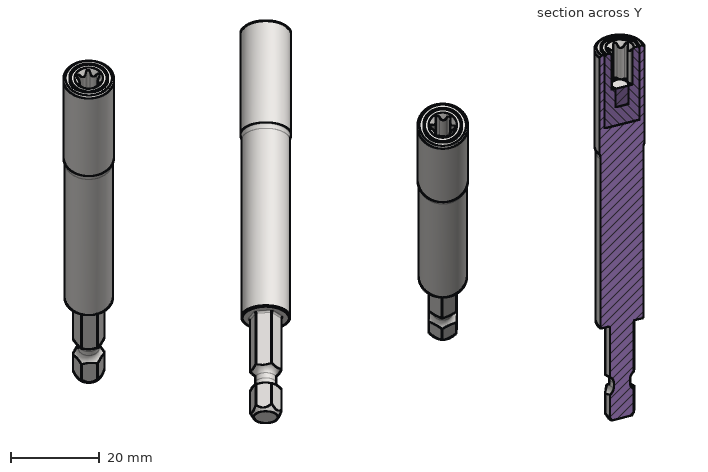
import cadquery as cq
import math

total_length = 100.0
head_radius = 5.75
grip_radius = 5.5

hex_across_flats = 6.35
hex_corner_radius = 3.6
shank_length = 25.7
shank_tip_radius = 2.75
shank_tip_chamfer_height = 1.5
shank_root_fillet = 0.4

neck_radius = 2.4
neck_cutter_clearance = 0.2
neck_arc_radius = 2.1
neck_bottom_z = 8.85
neck_top_z = 10.2

grip_bottom_chamfer = 0.25
shoulder_bottom_z = 71.85
shoulder_top_z = 73.05
shoulder_radius = 5.65
head_bottom_chamfer = 0.2
head_top_chamfer = 0.5

insert_radius = 4.4
insert_length = 20.0
insert_chamfer = 0.35

lobe_count = 6
lobe_outer_radius = 2.87
lobe_valley_radius = 2.02
lobe_tip_radius = 0.5
recess_depth = 10.0
lead_in_radius = 3.2
lead_in_depth = 1.5

magnet_radius = 1.95
magnet_length = 5.0


def revolve_about_z(profile):
    """Solid of revolution from an open profile of radius against height."""
    return profile.close().revolve(360, (0, 0, 0), (0, 1, 0))


def neck_cutter():
    """Ring that turns the neck, flaring out to beyond the hex corners at both ends."""
    outer_radius = hex_corner_radius + neck_cutter_clearance
    flare_angle = math.acos(1 - (outer_radius - neck_radius) / neck_arc_radius)

    def on_arc(angle):
        """Radius and height above the neck's end after the flare has turned by the angle."""
        radius = neck_radius + neck_arc_radius * (1 - math.cos(angle))
        return radius, neck_arc_radius * math.sin(angle)

    middle_radius, middle_rise = on_arc(flare_angle / 2)
    end_radius, end_rise = on_arc(flare_angle)
    return revolve_about_z(
        cq.Workplane("XZ")
        .moveTo(end_radius, neck_bottom_z - end_rise)
        .threePointArc((middle_radius, neck_bottom_z - middle_rise), (neck_radius, neck_bottom_z))
        .lineTo(neck_radius, neck_top_z)
        .threePointArc((middle_radius, neck_top_z + middle_rise), (end_radius, neck_top_z + end_rise))
    )


def make_shank():
    """Hex with a corner along X, its corners rounded and its tip chamfered, with the neck turned in."""
    across_corners = hex_across_flats / math.cos(math.pi / 6)
    hexagon = cq.Workplane("XY").polygon(6, across_corners).extrude(shank_length)
    turned = revolve_about_z(
        cq.Workplane("XZ")
        .moveTo(0, 0)
        .lineTo(shank_tip_radius, 0)
        .lineTo(hex_corner_radius, shank_tip_chamfer_height)
        .lineTo(hex_corner_radius, shank_length)
        .lineTo(0, shank_length)
    )
    return hexagon.intersect(turned).cut(neck_cutter())


def make_holder():
    """Barrel and shank in one piece, with a blind bore for the insert."""
    barrel = revolve_about_z(
        cq.Workplane("XZ")
        .moveTo(0, shank_length)
        .lineTo(grip_radius - grip_bottom_chamfer, shank_length)
        .lineTo(grip_radius, shank_length + grip_bottom_chamfer)
        .lineTo(grip_radius, shoulder_bottom_z)
        .tangentArcPoint((shoulder_radius, shoulder_top_z), relative=False)
        .lineTo(head_radius, shoulder_top_z + head_bottom_chamfer)
        .lineTo(head_radius, total_length - head_top_chamfer)
        .lineTo(head_radius - head_top_chamfer, total_length)
        .lineTo(0, total_length)
    )
    bore = cq.Workplane("XY").workplane(offset=total_length - insert_length)
    bore = bore.circle(insert_radius).extrude(insert_length)
    holder = barrel.union(make_shank())
    inside = (hex_corner_radius + grip_radius - grip_bottom_chamfer) / 2
    half_height = grip_bottom_chamfer / 2
    root = cq.selectors.BoxSelector(
        (-inside, -inside, shank_length - half_height),
        (inside, inside, shank_length + half_height),
        boundingbox=True,
    )
    return holder.edges(root).fillet(shank_root_fillet).cut(bore)


def lobed_outline(plane):
    """Six-lobed outline: convex lobe arcs tangent to concave valley arcs."""
    half_pitch = math.pi / lobe_count
    tip_center = lobe_outer_radius - lobe_tip_radius
    run = tip_center * math.cos(half_pitch)
    rise = tip_center * math.sin(half_pitch)
    gap = run - lobe_valley_radius
    valley_arc = (gap**2 + rise**2 - lobe_tip_radius**2) / (2 * (lobe_tip_radius + gap))
    valley_center = lobe_valley_radius + valley_arc
    share = lobe_tip_radius / (lobe_tip_radius + valley_arc)
    join_run = run + share * (valley_center - run)
    join_rise = rise * (1 - share)
    join_radius = math.hypot(join_run, join_rise)
    join_angle = math.atan2(join_rise, join_run)

    def at(radius, angle):
        return (radius * math.cos(angle), radius * math.sin(angle))

    outline = plane.moveTo(*at(join_radius, -join_angle))
    for lobe in range(lobe_count):
        valley = 2 * half_pitch * lobe
        next_valley = valley + 2 * half_pitch
        valley_end = at(join_radius, valley + join_angle)
        lobe_end = at(join_radius, next_valley - join_angle)
        outline = outline.threePointArc(at(lobe_valley_radius, valley), valley_end)
        outline = outline.threePointArc(at(lobe_outer_radius, valley + half_pitch), lobe_end)
    return outline.close()


def make_insert():
    """Drive insert: lobed recess with a conical lead-in, and a pocket for the magnet in its floor."""
    body = (
        cq.Workplane("XY")
        .workplane(offset=total_length - insert_length)
        .circle(insert_radius)
        .extrude(insert_length)
        .faces(">Z")
        .chamfer(insert_chamfer)
    )
    floor = cq.Workplane("XY").workplane(offset=total_length - recess_depth)
    recess = lobed_outline(floor).extrude(recess_depth)
    lead_in_apex_depth = lead_in_radius * lead_in_depth / (lead_in_radius - lobe_valley_radius)
    lead_in = revolve_about_z(
        cq.Workplane("XZ")
        .moveTo(0, total_length)
        .lineTo(lead_in_radius, total_length)
        .lineTo(0, total_length - lead_in_apex_depth)
    )
    return body.cut(recess).cut(lead_in).cut(make_magnet())


def make_magnet():
    """Disc lying flush with the floor of the recess."""
    bottom = total_length - recess_depth - magnet_length
    return cq.Workplane("XY").workplane(offset=bottom).circle(magnet_radius).extrude(magnet_length)


holder = make_holder()
insert = make_insert()
magnet = make_magnet()
result = cq.Compound.makeCompound([holder.val(), insert.val(), magnet.val()])